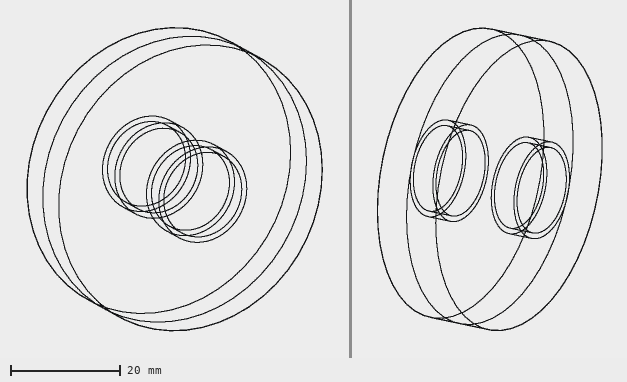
import cadquery as cq

disc_diameter = 54.0
total_length = 23.0
disc_thickness = 6.5
collar_outer_diameter = 18.05
collar_wall = 1.0

collar_length = total_length / 2 - disc_thickness
collar_inner_diameter = collar_outer_diameter - 2 * collar_wall


def make_flange_half(side):
    """Disc with a hollow collar, reaching from the joint plane X = 0 toward side (-1 or +1)."""
    disc = cq.Workplane("YZ").circle(disc_diameter / 2).extrude(side * disc_thickness)
    collar = (
        cq.Workplane("YZ", origin=(side * disc_thickness, 0, 0))
        .circle(collar_outer_diameter / 2)
        .circle(collar_inner_diameter / 2)
        .extrude(side * collar_length)
    )
    return disc.union(collar)


flange_halves = [make_flange_half(side).val() for side in (-1, 1)]

result = cq.Compound.makeCompound(flange_halves)